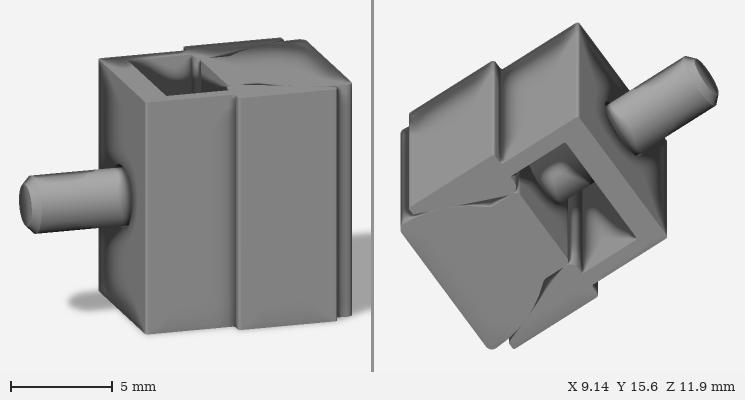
import cadquery as cq
import math

height = 11.89
overall_depth = 15.62

jaw_outer_half = 9.14 / 2
jaw_bottom = 4.56
jaw_top = 9.64
jaw_mouth_half = 4.15
jaw_taper = math.radians(22)
channel_half = 3.91
wall = 0.78
web = 1.30
top_corner_radius = 0.10
jaw_heel_radius = 0.16
neck_radius = 0.13
base_corner_radius = 0.15
pocket_corner_radius = 0.10
pocket_half = channel_half - wall

wedge_top = 10.665
wedge_bottom = 4.715
stem_half = 2.32
flank_radius = 6.0
contact_y = 8.24
wedge_top_radius = 0.36
wedge_bottom_radius = 0.30
wedge_waist_radius = 0.40

screw_diameter = 2.87
screw_chamfer = 0.385
clearance_diameter = 3.20
screw_tip = wedge_top - overall_depth


def jaw_half_width(y):
    """Half distance between the two tapered jaw faces at a given Y."""
    return jaw_mouth_half - (jaw_top - y) * math.tan(jaw_taper)


nose_corner_half = jaw_half_width(jaw_bottom)
nose_half_angle = (math.pi / 2 - jaw_taper) / 2
nose_radius = (stem_half - nose_corner_half) / (1 / math.tan(nose_half_angle) - 1)

flank_center_x = jaw_half_width(contact_y) - flank_radius * math.cos(jaw_taper)
flank_center_y = contact_y + flank_radius * math.sin(jaw_taper)


def flank_x(y):
    """X of the right-hand wedge flank at a given Y."""
    return flank_center_x + math.sqrt(flank_radius**2 - (y - flank_center_y) ** 2)


def round_corners(body, x, y, radius):
    """Round the pair of Z-direction edges at (x, y) and (-x, y)."""
    for side in (1, -1):
        edge = cq.selectors.NearestToPointSelector((side * x, y, 0))
        body = body.edges("|Z").edges(edge).fillet(radius)
    return body


def cylinder_along_y(diameter, y_start, y_end):
    plane = cq.Plane(origin=(0, y_start, 0), xDir=(1, 0, 0), normal=(0, 1, 0))
    return cq.Workplane(plane).circle(diameter / 2).extrude(y_end - y_start)


def make_frame():
    right_side = [
        (channel_half, 0),
        (channel_half, jaw_bottom),
        (jaw_outer_half, jaw_bottom),
        (jaw_outer_half, jaw_top),
        (jaw_mouth_half, jaw_top),
        (nose_corner_half, jaw_bottom),
        (pocket_half, jaw_bottom),
        (pocket_half, web),
    ]
    left_side = [(-x, y) for x, y in reversed(right_side)]
    frame = cq.Workplane("XY").polyline(right_side + left_side).close().extrude(height / 2, both=True)

    frame = round_corners(frame, channel_half, 0, base_corner_radius)
    frame = round_corners(frame, channel_half, jaw_bottom, neck_radius)
    frame = round_corners(frame, jaw_outer_half, jaw_bottom, jaw_heel_radius)
    frame = round_corners(frame, jaw_outer_half, jaw_top, top_corner_radius)
    frame = round_corners(frame, nose_corner_half, jaw_bottom, nose_radius)
    frame = round_corners(frame, pocket_half, web, pocket_corner_radius)
    return frame.cut(cylinder_along_y(clearance_diameter, 0, web))


def make_wedge():
    waist_y = flank_center_y - math.sqrt(flank_radius**2 - (stem_half - flank_center_x) ** 2)
    head_half = flank_x(wedge_top)
    contact_half = jaw_half_width(contact_y)
    wedge = (
        cq.Workplane("XY")
        .moveTo(-stem_half, wedge_bottom)
        .lineTo(stem_half, wedge_bottom)
        .lineTo(stem_half, waist_y)
        .threePointArc((contact_half, contact_y), (head_half, wedge_top))
        .lineTo(-head_half, wedge_top)
        .threePointArc((-contact_half, contact_y), (-stem_half, waist_y))
        .close()
        .extrude(height / 2, both=True)
    )
    wedge = round_corners(wedge, stem_half, wedge_bottom, wedge_bottom_radius)
    wedge = round_corners(wedge, stem_half, waist_y, wedge_waist_radius)
    return round_corners(wedge, head_half, wedge_top, wedge_top_radius)


def make_screw():
    """Plain shank from the chamfered tip to the underside of the wedge."""
    shank = cylinder_along_y(screw_diameter, screw_tip, wedge_bottom)
    return shank.faces("<Y").chamfer(screw_chamfer)


frame = make_frame()
wedge = make_wedge()
screw = make_screw()

result = cq.Compound.makeCompound([frame.val(), wedge.val(), screw.val()])